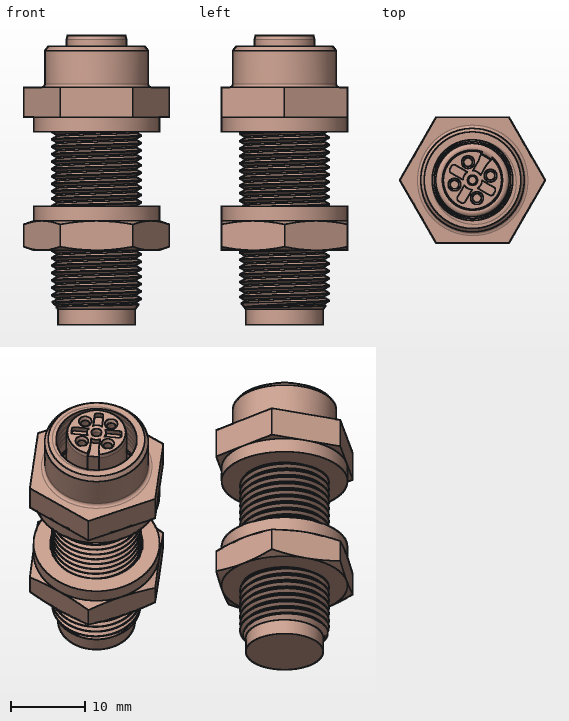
import cadquery as cq
import math

total_height = 39.0
thread_start = 2.1
lead_in_height = 1.0
nut_bottom = 10.05
nut_height = 3.95
washer_thickness = 2.0
flange_bottom = 26.0
flange_thickness = 2.0
hex_height = 4.0
sleeve_top = 37.55
bore_thread_floor = 31.2
socket_floor = 29.55

nut_top = nut_bottom + nut_height
washer_top = nut_top + washer_thickness
hex_bottom = flange_bottom + flange_thickness
hex_top = hex_bottom + hex_height

across_flats = 17.0
hex_corner_diameter = across_flats / math.cos(math.radians(30))
flange_radius = across_flats / 2
washer_bore_radius = 6.25
nut_chamfer_height = 0.45

pitch = 1.0
crest_radius = 6.0
root_radius = 5.44
crest_width = pitch / 8
flank_angle = 30
thread_overlap = 0.1
tail_radius = 5.23
bore_crest_phase = 0.7

sleeve_radius = 7.0
sleeve_chamfer_width = 0.45
sleeve_chamfer_height = 0.6
sleeve_foot_fillet = 0.45
socket_seat_radius = 5.2

insert_radius = 4.05
insert_taper_width = 0.135
insert_taper_height = 0.5
ring_centre_radius = 4.33
ring_section_radius = 0.62

pin_circle_radius = 2.5
pin_count = 4
first_pin_angle = 14
pin_hole_radius = 0.6
pin_mouth_radius = 0.85
centre_hole_radius = 0.55
centre_mouth_radius = 0.682
mouth_depth = 0.5
hole_depth = 4.68

slot_width = 1.2
slot_depth = 0.78
slot_outer_radius = 3.4
slot_corner_fillet = 0.4
hub_radius = 1.3
keyway_angle = 60
keyway_width = 1.55
keyway_inner_radius = 2.7
keyway_step_radius = 3.63


def cylinder(radius, bottom, top):
    return cq.Workplane("XY").workplane(offset=bottom).circle(radius).extrude(top - bottom)


def hexagon(bottom, top):
    plane = cq.Workplane("XY").workplane(offset=bottom)
    return plane.polygon(6, hex_corner_diameter).extrude(top - bottom)


def turned(points):
    """Revolve a closed outline of (radius, z) points about Z."""
    return cq.Workplane("XZ").polyline(points).close().revolve(360, (0, 0), (0, 1))


def helical_ridge(first_crest, last_crest):
    """Right-hand V ridge; its crest crosses the +X side at first_crest and one pitch apart above."""
    inner_radius = root_radius - thread_overlap
    half_crest = crest_width / 2
    flank_run = (crest_radius - inner_radius) * math.tan(math.radians(flank_angle))
    half_base = half_crest + flank_run
    helix = cq.Wire.makeHelix(pitch, last_crest - first_crest, inner_radius, cq.Vector(0, 0, first_crest))
    profile = cq.Workplane("XZ").polyline([
        (inner_radius, first_crest - half_base),
        (crest_radius, first_crest - half_crest),
        (crest_radius, first_crest + half_crest),
        (inner_radius, first_crest + half_base),
    ]).close()
    return profile.sweep(cq.Workplane(obj=helix), isFrenet=True)


def threaded_shank():
    """Threaded rod with a plain tail; the thread runs on unseen inside the nut, washer and flange."""
    first_crest = pitch / 2
    turns = math.floor(hex_bottom / pitch) - 1
    ridge = helical_ridge(first_crest, first_crest + turns * pitch)
    thread_end = hex_bottom - flange_thickness / 2
    clear_radius = 2 * crest_radius - tail_radius
    envelope = turned([
        (0, thread_start),
        (tail_radius, thread_start),
        (clear_radius, thread_start + 2 * lead_in_height),
        (clear_radius, thread_end),
        (0, thread_end),
    ])
    core = cylinder(root_radius, 0, hex_bottom)
    thread = core.union(ridge, clean=False).intersect(envelope, clean=False)
    return thread.union(cylinder(tail_radius, 0, thread_start), clean=False)


def lock_nut():
    corner_radius = hex_corner_diameter / 2
    cone_limit = turned([
        (0, nut_bottom),
        (flange_radius, nut_bottom),
        (corner_radius, nut_bottom + nut_chamfer_height),
        (corner_radius, nut_top - nut_chamfer_height),
        (flange_radius, nut_top),
        (0, nut_top),
    ])
    return hexagon(nut_bottom, nut_top).intersect(cone_limit)


def head():
    """Flange, hexagon and sleeve with the threaded socket bore."""
    foot_top = hex_top + sleeve_foot_fillet
    foot_radius = sleeve_radius + sleeve_foot_fillet
    arc_inset = sleeve_foot_fillet * (1 - math.sqrt(0.5))
    sleeve = (
        cq.Workplane("XZ")
        .moveTo(0, hex_bottom)
        .lineTo(foot_radius, hex_bottom)
        .lineTo(foot_radius, hex_top)
        .threePointArc((sleeve_radius + arc_inset, hex_top + arc_inset), (sleeve_radius, foot_top))
        .lineTo(sleeve_radius, sleeve_top - sleeve_chamfer_height)
        .lineTo(sleeve_radius - sleeve_chamfer_width, sleeve_top)
        .lineTo(0, sleeve_top)
        .close()
        .revolve(360, (0, 0), (0, 1))
    )
    bore = cylinder(root_radius, bore_thread_floor, sleeve_top)
    bore = bore.union(cylinder(socket_seat_radius, socket_floor, bore_thread_floor))
    first_crest = (math.ceil(bore_thread_floor / pitch) + bore_crest_phase) * pitch
    last_crest = sleeve_top + 2 * pitch
    bore_thread = helical_ridge(first_crest, last_crest)
    flange = cylinder(flange_radius, flange_bottom, hex_bottom)
    blank = flange.union(hexagon(hex_bottom, hex_top)).union(sleeve)
    return blank.cut(bore).cut(bore_thread, clean=False)


def contact_hole(radius, mouth_radius):
    """Blind hole on the axis with a conical mouth."""
    return turned([
        (0, total_height - hole_depth),
        (radius, total_height - hole_depth),
        (radius, total_height - mouth_depth),
        (mouth_radius, total_height),
        (0, total_height),
    ])


def slot_cutter():
    """Shallow radial pocket along +X, from the axis to the rounded outer end."""
    return (
        cq.Workplane("XY")
        .workplane(offset=total_height - slot_depth)
        .center(slot_outer_radius / 2, 0)
        .rect(slot_outer_radius, slot_width)
        .extrude(slot_depth)
        .edges("|Z and >X")
        .fillet(slot_corner_fillet)
    )


def keyway_cutter():
    """Polarising key along +X: a flared shallow mouth and a deep groove in the insert wall."""
    mouth = (
        cq.Workplane("XY")
        .workplane(offset=total_height - slot_depth)
        .polyline([
            (keyway_inner_radius, -slot_width / 2),
            (keyway_step_radius, -keyway_width / 2),
            (keyway_step_radius, keyway_width / 2),
            (keyway_inner_radius, slot_width / 2),
        ])
        .close()
        .extrude(slot_depth)
    )
    groove_length = insert_radius - keyway_step_radius
    groove = (
        cq.Workplane("XY")
        .workplane(offset=socket_floor)
        .center(keyway_step_radius + groove_length, 0)
        .rect(2 * groove_length, keyway_width)
        .extrude(total_height - socket_floor)
    )
    return mouth.union(groove)


def insert():
    body = turned([
        (0, socket_floor),
        (insert_radius, socket_floor),
        (insert_radius, total_height - insert_taper_height),
        (insert_radius - insert_taper_width, total_height),
        (0, total_height),
    ])
    axis = (0, 0, 1)
    slots = slot_cutter().rotate((0, 0, 0), axis, keyway_angle)
    for index in range(1, pin_count):
        slots = slots.union(slot_cutter().rotate((0, 0, 0), axis, keyway_angle + index * 360 / pin_count))
    slots = slots.cut(cylinder(hub_radius, total_height - slot_depth, total_height))
    body = body.cut(slots)
    body = body.cut(keyway_cutter().rotate((0, 0, 0), axis, keyway_angle))
    body = body.cut(contact_hole(centre_hole_radius, centre_mouth_radius))
    pin_hole = contact_hole(pin_hole_radius, pin_mouth_radius).translate((pin_circle_radius, 0, 0))
    for index in range(pin_count):
        body = body.cut(pin_hole.rotate((0, 0, 0), axis, first_pin_angle + index * 360 / pin_count))
    return body


def sealing_ring():
    """O-ring half sunk into the socket floor around the insert."""
    return (
        cq.Workplane("XZ")
        .center(ring_centre_radius, socket_floor)
        .circle(ring_section_radius)
        .revolve(360, (-ring_centre_radius, 0), (-ring_centre_radius, 1))
    )


def washer():
    """Flat washer on the nut, clear of the thread crests."""
    return cylinder(flange_radius, nut_top, washer_top).cut(cylinder(washer_bore_radius, nut_top, washer_top))


result = (
    head()
    .union(insert(), clean=False)
    .union(sealing_ring(), clean=False)
    .union(washer().union(lock_nut()), clean=False)
    .union(threaded_shank(), clean=False)
)